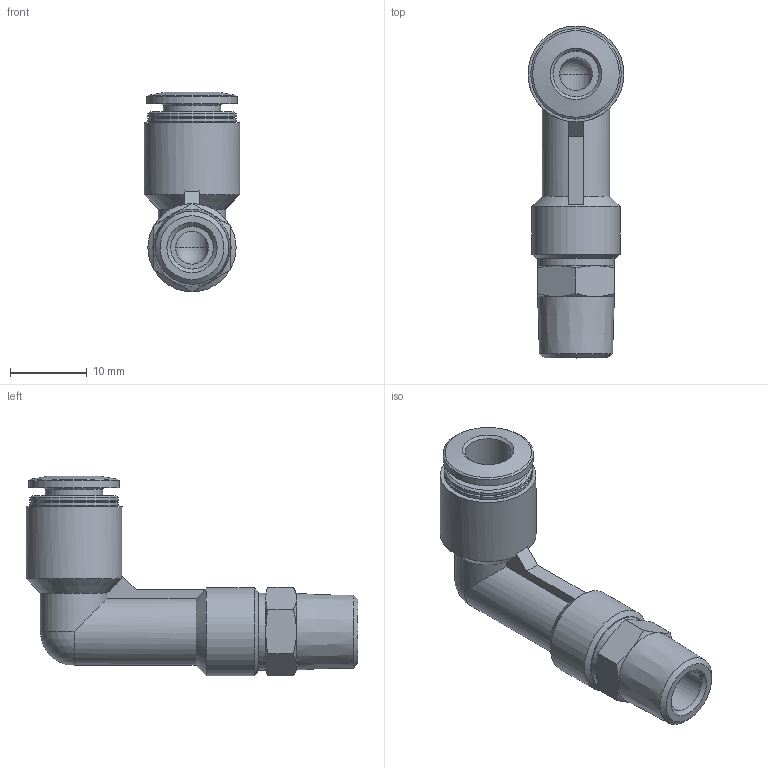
import cadquery as cq
import math


tube_radius = 4.4
passage_radius = 4.3 / 2

socket_radius = 12.5 / 2
socket_cone_start = 5.03
socket_cone_end = socket_cone_start + socket_radius - tube_radius
socket_top = 16.3
tube_seat_height = socket_cone_start
tube_bore_radius = 6.0 / 2

collar_radius = 11.5 / 2
collar_height = 1.4
collar_top = socket_top + collar_height
collar_chamfer_height = 0.25
collar_chamfer_depth = 0.3
groove_rise = 0.65
groove_height = socket_top + groove_rise
groove_depth = 0.15
groove_half_width = 0.15

button_top = 20.3
button_neck_radius = 7.5 / 2
button_radius = 11.8 / 2
button_underside = 18.75
button_rim_height = 19.7
button_rim_chamfer = 0.25
button_face_drop = 0.43
neck_flare = 0.2
bore_mouth_chamfer = 0.35

sleeve_radius = 11.5 / 2
sleeve_cone_start = 15.9
sleeve_cone_end = sleeve_cone_start + sleeve_radius - tube_radius
sleeve_end = 24.0
sleeve_chamfer_length = 0.5
sleeve_chamfer_depth = 0.65

hex_across_flats = 10.0
hex_turn = 30
hex_corner_radius = hex_across_flats / 2 / math.cos(math.pi / 6)
hex_start = 25.0
hex_end = 29.0
hex_front_chamfer_length = 0.4
hex_back_chamfer_length = 0.25
stem_neck_radius = 5.0

stem_end = 37.0
thread_taper = 1 / 16
thread_chamfer_length = 0.55
thread_chamfer_depth = 0.6
stem_bore_radius = 5.56 / 2
stem_mouth_chamfer = 0.5

rib_width = 2.0
rib_top = 5.47
rib_slope_end = 8.1


def revolve_about_z(outline):
    """Solid of revolution about Z from (radius, height) points."""
    return cq.Workplane("XZ").polyline(outline).close().revolve(360, (0, 0), (0, 1))


def revolve_about_y(outline):
    """Solid of revolution about Y from (radius, distance along -Y) points."""
    points = [(radius, -distance) for radius, distance in outline]
    return cq.Workplane("XY").polyline(points).close().revolve(360, (0, 0), (0, 1))


def make_socket():
    return revolve_about_z([
        (0, 0),
        (tube_radius, 0),
        (tube_radius, socket_cone_start),
        (socket_radius, socket_cone_end),
        (socket_radius, socket_top),
        (collar_radius - groove_depth, socket_top),
        (collar_radius, socket_top + groove_half_width),
        (collar_radius, groove_height - groove_half_width),
        (collar_radius - groove_depth, groove_height),
        (collar_radius, groove_height + groove_half_width),
        (collar_radius, collar_top - collar_chamfer_height),
        (collar_radius - collar_chamfer_depth, collar_top),
        (button_neck_radius, collar_top),
        (button_neck_radius, button_underside - neck_flare),
        (button_neck_radius + neck_flare, button_underside),
        (button_radius, button_underside),
        (button_radius, button_rim_height),
        (button_radius - button_rim_chamfer, button_top - button_face_drop),
        (tube_bore_radius + bore_mouth_chamfer, button_top),
        (0, button_top),
    ])


def make_stem():
    """Horizontal tube, swivel sleeve, neck and taper thread."""
    thread_chamfer_start = stem_end - thread_chamfer_length
    thread_end_radius = stem_neck_radius - (thread_chamfer_start - hex_end) * thread_taper / 2
    return revolve_about_y([
        (0, 0),
        (tube_radius, 0),
        (tube_radius, sleeve_cone_start),
        (sleeve_radius, sleeve_cone_end),
        (sleeve_radius, sleeve_end - sleeve_chamfer_length),
        (sleeve_radius - sleeve_chamfer_depth, sleeve_end),
        (stem_neck_radius, sleeve_end),
        (stem_neck_radius, hex_end),
        (thread_end_radius, thread_chamfer_start),
        (thread_end_radius - thread_chamfer_depth, stem_end),
        (0, stem_end),
    ])


def make_hexagon():
    """Hexagon with corners at +Z and -Z, its corners trimmed by end cones."""
    prism = (
        cq.Workplane("XZ", origin=(0, -hex_start, 0))
        .polygon(6, 2 * hex_corner_radius)
        .extrude(hex_end - hex_start)
        .rotate((0, 0, 0), (0, 1, 0), hex_turn)
    )
    envelope = revolve_about_y([
        (0, hex_start),
        (hex_across_flats / 2, hex_start),
        (hex_corner_radius, hex_start + hex_back_chamfer_length),
        (hex_corner_radius, hex_end - hex_front_chamfer_length),
        (hex_across_flats / 2, hex_end),
        (0, hex_end),
    ])
    return prism.intersect(envelope)


def make_rib():
    """Web on the YZ plane with a 45 degree slope up to the socket wall."""
    slope_rise = rib_slope_end - tube_radius
    return (
        cq.Workplane("YZ")
        .polyline([
            (0, 0),
            (-sleeve_cone_end, 0),
            (-sleeve_cone_end, rib_top),
            (-rib_slope_end, rib_top),
            (-tube_radius, rib_top + slope_rise),
            (0, rib_top + slope_rise),
        ])
        .close()
        .extrude(rib_width / 2, both=True)
    )


def make_socket_bore():
    """Tube bore with a chamfered mouth, stepping down to the flow passage."""
    return revolve_about_z([
        (0, 0),
        (passage_radius, 0),
        (passage_radius, tube_seat_height),
        (tube_bore_radius, tube_seat_height),
        (tube_bore_radius, button_top - bore_mouth_chamfer),
        (tube_bore_radius + bore_mouth_chamfer, button_top),
        (0, button_top),
    ])


def make_stem_bore():
    """Stem bore with a chamfered mouth, stepping down to the flow passage."""
    return revolve_about_y([
        (0, 0),
        (passage_radius, 0),
        (passage_radius, sleeve_cone_end),
        (stem_bore_radius, sleeve_cone_end),
        (stem_bore_radius, stem_end - stem_mouth_chamfer),
        (stem_bore_radius + stem_mouth_chamfer, stem_end),
        (0, stem_end),
    ])


def make_corner_ball(radius):
    return cq.Workplane("XY").sphere(radius)


body = (
    make_socket()
    .union(make_stem())
    .union(make_corner_ball(tube_radius))
    .union(make_hexagon())
    .union(make_rib())
)
passage = make_socket_bore().union(make_stem_bore()).union(make_corner_ball(passage_radius))
result = body.cut(passage)